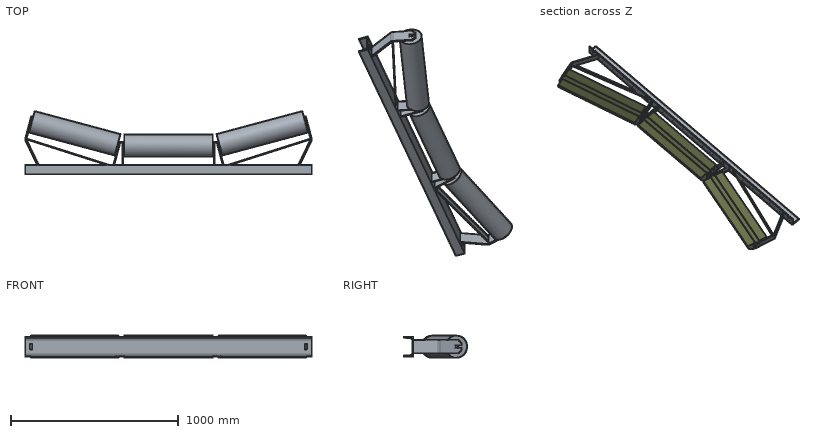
import cadquery as cq
import math


beam_length = 1710.0
beam_height = 120.0
beam_depth = 56.0
web_thickness = 7.0
flange_root = 10.8
flange_tip = 7.2
root_radius = 9.0
tip_radius = 4.3
mount_slot_spacing = 1638.0
mount_slot_length = 36.0
mount_slot_width = 15.0

roller_diameter = 133.0
roller_length = 530.0
trough_angle = 15.0
center_roller_y = 115.0
side_roller_x = 560.0
side_roller_y = 188.0

shaft_diameter = 24.0
shaft_square = 15.0
plate_offset = 12.0
shaft_length = roller_length + 2 * plate_offset

plate_width = 80.0
brace_width = 50.0
outer_thickness = 9.0
inner_thickness = 6.0
brace_thickness = 5.0
bend_radius = 17.0
upright_top = 30.0
upright_drop = 113.0
brace_drop = 110.0
corner_cut = 20.0
slot_reach = 43.0
leg_foot_x = 783.0
brace_foot_x = 371.0
bridge_top = 139.0

sin_trough = math.sin(math.radians(trough_angle))
cos_trough = math.cos(math.radians(trough_angle))


def side_point(along, up):
    """Point on the right-hand roller's tilted frame: along its axis and square to it."""
    return (
        side_roller_x + along * cos_trough - up * sin_trough,
        side_roller_y + along * sin_trough + up * cos_trough,
    )


def tilted_x(along, y):
    """X at height y of the plane that lies square to the right-hand roller at this place along it."""
    up = (y - side_roller_y - along * sin_trough) / cos_trough
    return side_point(along, up)[0]


def place_side(body):
    """Move a body modelled along X at the origin to the right-hand roller position."""
    return body.rotate((0, 0, 0), (0, 0, 1), trough_angle).translate((side_roller_x, side_roller_y, 0))


def place_center(body):
    return body.translate((0, center_roller_y, 0))


def mirrored(body):
    return body.mirror("YZ")


def plate(points, width=plate_width):
    """Plate with the given XY outline, centred on Z = 0."""
    return cq.Workplane("XY").workplane(offset=-width / 2).polyline(points).close().extrude(width)


def strut(foot_x, top, thickness, width):
    """Straight flat bar rising from the beam at foot_x; its outer face ends at the point top."""
    foot = (foot_x, 0)
    length = math.dist(foot, top)
    rise = (top[1] - foot[1]) / length
    run = (top[0] - foot[0]) / length
    inner_top = (top[0] - thickness * rise, top[1] + thickness * run)
    inner_foot = (foot_x - thickness / rise, 0)
    return plate([foot, top, inner_top, inner_foot], width)


def round_inner_corners(beam, y, radius):
    """Round the two lengthwise edges at this Y that lie on the inner sides of the flanges."""
    margin = flange_tip / 2
    reach_z = beam_height / 2 - margin
    inner_corners = cq.selectors.BoxSelector(
        (-beam_length, y - margin / 2, -reach_z), (beam_length, y + margin / 2, reach_z)
    )
    return beam.edges("|X").edges(inner_corners).fillet(radius)


def make_beam():
    half = beam_height / 2
    outline = [
        (0, -half),
        (-beam_depth, -half),
        (-beam_depth, -half + flange_tip),
        (-web_thickness, -half + flange_root),
        (-web_thickness, half - flange_root),
        (-beam_depth, half - flange_tip),
        (-beam_depth, half),
        (0, half),
    ]
    beam = cq.Workplane("YZ").workplane(offset=-beam_length / 2).polyline(outline).close().extrude(beam_length)
    beam = round_inner_corners(beam, -web_thickness, root_radius)
    beam = round_inner_corners(beam, -beam_depth, tip_radius)
    slots = (
        cq.Workplane("XZ")
        .pushPoints([(-mount_slot_spacing / 2, 0), (mount_slot_spacing / 2, 0)])
        .slot2D(mount_slot_length, mount_slot_width, 90)
        .extrude(web_thickness)
    )
    return beam.cut(slots)


def round_bar(diameter, length):
    """Cylinder along X, centred at the origin."""
    return cq.Workplane("YZ").workplane(offset=-length / 2).circle(diameter / 2).extrude(length)


def make_shell():
    return round_bar(roller_diameter, roller_length).cut(round_bar(shaft_diameter, roller_length))


def make_shaft():
    core = round_bar(shaft_diameter, roller_length)
    ends = cq.Workplane("XY").box(shaft_length, shaft_square, shaft_square)
    return core.union(ends)


def shaft_slot(side):
    """Cutter for the open square seat of one shaft end, on side +1 or -1 of a roller."""
    height = shaft_square / 2 + slot_reach
    middle = side * (roller_length + plate_offset) / 2
    return (
        cq.Workplane("XY")
        .box(plate_offset, height, shaft_square)
        .translate((middle, slot_reach - height / 2, 0))
    )


def make_outer_bracket():
    """Upright, sloping leg and brace at the right-hand end."""
    face = roller_length / 2 + plate_offset
    back = face - outer_thickness
    upright = plate([(back, -upright_drop), (face, -upright_drop), (face, upright_top), (back, upright_top)])
    upright = upright.edges(">Y and |X").chamfer(corner_cut)
    upright = place_side(upright.cut(shaft_slot(1)))

    bend = side_point(face, -upright_drop)
    leg = strut(leg_foot_x, bend, outer_thickness, plate_width)
    bent_plate = upright.union(leg)
    bent_plate = bent_plate.edges(cq.selectors.NearestToPointSelector((*bend, 0))).fillet(bend_radius)

    brace_top = side_point(face - outer_thickness / 2, -brace_drop)
    brace = strut(brace_foot_x, brace_top, brace_thickness, brace_width)
    return bent_plate.union(brace)


def make_inner_bracket():
    """Folded plate between the centre roller and the right-hand roller."""
    straight_back = roller_length / 2 + plate_offset
    straight_face = straight_back - inner_thickness
    tilted_back = -straight_back
    tilted_face = -straight_face
    under_bridge = bridge_top - inner_thickness
    bracket = plate(
        [
            (straight_face, 0),
            (straight_face, bridge_top),
            (tilted_x(tilted_face, bridge_top), bridge_top),
            (tilted_x(tilted_face, 0), 0),
            (tilted_x(tilted_back, 0), 0),
            (tilted_x(tilted_back, under_bridge), under_bridge),
            (straight_back, under_bridge),
            (straight_back, 0),
        ]
    )
    return bracket.cut(place_center(shaft_slot(1))).cut(place_side(shaft_slot(-1)))


def make_frame():
    """Beam with all its brackets welded on."""
    frame = make_beam()
    for bracket in (make_outer_bracket(), make_inner_bracket()):
        frame = frame.union(bracket).union(mirrored(bracket))
    return frame


def at_all_rollers(body):
    """Copies of a body at the centre, right-hand and left-hand roller positions."""
    right = place_side(body)
    return [place_center(body), right, mirrored(right)]


frame = make_frame()
roller_shells = at_all_rollers(make_shell())
roller_shafts = at_all_rollers(make_shaft())

result = cq.Compound.makeCompound([body.val() for body in [frame, *roller_shells, *roller_shafts]])